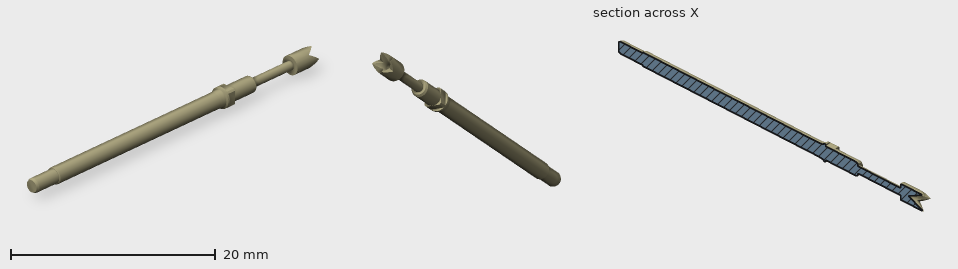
import cadquery as cq
import math

total_length = 38.8

tail_diameter = 1.55
tail_length = 3.03
tail_chamfer_length = 0.27
tail_chamfer_depth = 0.1
barrel_diameter = 1.8
barrel_rear_chamfer = 0.08
barrel_front = 30.45
mouth_diameter = 1.47
mouth_chamfer_length = 0.25

cone_start = 25.35
cone_diameter = 1.95
flange_diameter = 2.3
flange_rear = 26.1
flange_taper_length = 0.1
flange_front = 26.35
square_front = 27.3
square_across_flats = 1.8

shaft_diameter = 0.97

crown_diameter = 2.05
crown_length = 3.0
notch_depth = 1.13
cup_depth = 1.9
crown_rear = total_length - crown_length


def turned_body():
    """Barrel, collar and plunger as one revolved half profile (radius, y)."""
    profile = [
        (0, 0),
        (tail_diameter / 2 - tail_chamfer_depth, 0),
        (tail_diameter / 2, tail_chamfer_length),
        (tail_diameter / 2, tail_length),
        (barrel_diameter / 2 - barrel_rear_chamfer, tail_length),
        (barrel_diameter / 2, tail_length + barrel_rear_chamfer),
        (barrel_diameter / 2, cone_start),
        (cone_diameter / 2, flange_rear - flange_taper_length),
        (flange_diameter / 2, flange_rear),
        (flange_diameter / 2, flange_front),
        (barrel_diameter / 2, flange_front),
        (barrel_diameter / 2, barrel_front - mouth_chamfer_length),
        (mouth_diameter / 2, barrel_front),
        (shaft_diameter / 2, barrel_front),
        (shaft_diameter / 2, crown_rear),
        (crown_diameter / 2, crown_rear),
        (crown_diameter / 2, total_length),
        (0, total_length),
    ]
    return cq.Workplane("XY").polyline(profile).close().revolve(360, (0, 0), (0, 1))


def collar_square():
    """Square with its corners turned down to the flange radius."""
    length = square_front - flange_front
    block = cq.Workplane("XY").box(square_across_flats, length, square_across_flats)
    block = block.translate((0, flange_front + length / 2, 0))
    disc = cq.Workplane("XZ", origin=(0, flange_front, 0)).circle(flange_diameter / 2).extrude(-length)
    return block.intersect(disc)


def crown_cup():
    """Conical hollow that leaves a sharp rim on the crown."""
    profile = [(0, total_length - cup_depth), (crown_diameter / 2, total_length), (0, total_length)]
    return cq.Workplane("XY").polyline(profile).close().revolve(360, (0, 0), (0, 1))


def crown_notch(angle):
    """V groove across the crown; two crossed grooves leave four points."""
    half_width = crown_diameter / 2 * math.sin(math.pi / 4)
    groove = (
        cq.Workplane("XY")
        .moveTo(0, total_length - notch_depth)
        .lineTo(half_width, total_length)
        .lineTo(-half_width, total_length)
        .close()
        .extrude(crown_diameter, both=True)
    )
    return groove.rotate((0, 0, 0), (0, 1, 0), angle)


result = turned_body().union(collar_square()).cut(crown_cup())
for notch_angle in (45, -45):
    result = result.cut(crown_notch(notch_angle))